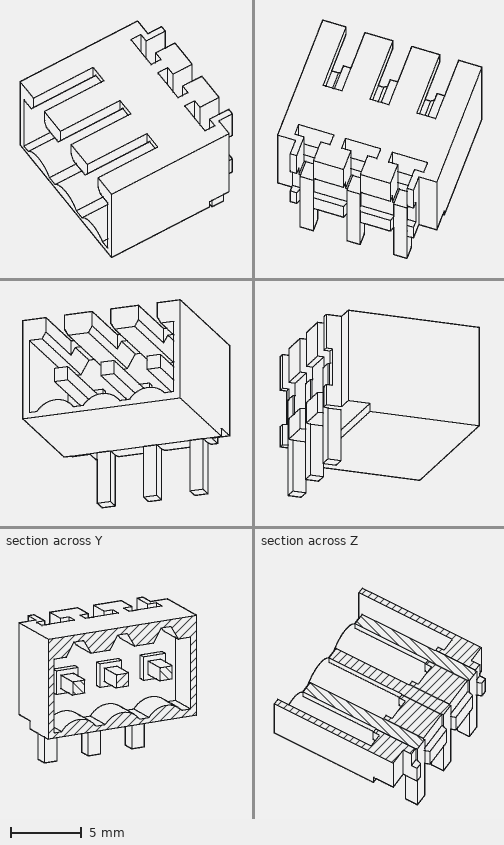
import cadquery as cq


contact_count = 3
pitch = 3.5
pin_width = 1.0
pin_arm_top_drop = 3.45
pin_front_inset = 1.19
pin_rear_inset = 0.35

width = 11.9
depth = 11.05
total_height = 10.65
housing_height = 7.43
rear_block_depth = 1.15
rear_block_side_inset = 1.35
foot_depth = 2.8
foot_height = 0.61

wall = 0.5
ceiling_thickness = 1.57
floor_thickness = 0.42
raised_floor_thickness = 0.56
ridge_height = 0.7
ridge_half_width = 1.38
keyway_top_drop = 0.55
keyway_top_half_width = 0.38
keyway_base_half_width = 0.99
collar_size = 1.75
collar_length = wall

top_slot_width = 1.4
top_slot_length = 5.02
pocket_width = 2.63
pocket_length = 0.83
pocket_rear_inset = 1.62
throat_width = 1.25
notch_top_drop = 2.55
notch_bottom_drop = 5.28
notch_depth = 0.48

housing_top = total_height
housing_bottom = housing_top - housing_height
foot_z = housing_bottom + foot_height
cavity_depth = depth - foot_depth - wall
cavity_floor = housing_bottom + floor_thickness
cavity_ceiling = housing_top - ceiling_thickness
pin_arm_top = housing_top - pin_arm_top_drop
pin_arm_center = pin_arm_top - pin_width / 2
pin_rear = depth - pin_rear_inset
pin_leg_front = pin_rear - pin_width
pocket_rear = depth - pocket_rear_inset
notch_top = housing_top - notch_top_drop
notch_bottom = housing_top - notch_bottom_drop
contact_xs = [width / 2 + (i - (contact_count - 1) / 2) * pitch for i in range(contact_count)]


def block(x_range, y_range, z_range):
    """Box spanning the given (low, high) range along each axis."""
    lows, highs = zip(x_range, y_range, z_range)
    sizes = [high - low for low, high in zip(lows, highs)]
    return cq.Workplane("XY").box(*sizes, centered=False).translate(lows)


def centered_block(x, block_width, y_range, z_range):
    """Box of the given width centred on x."""
    return block((x - block_width / 2, x + block_width / 2), y_range, z_range)


def extrude_back(outline, length):
    """Extrude an XZ outline from the mouth toward the rear."""
    return outline.close().extrude(-length)


def pin(x):
    """L-shaped square pin: an arm pointing to the mouth and a leg pointing down."""
    arm = centered_block(x, pin_width, (pin_front_inset, pin_rear), (pin_arm_top - pin_width, pin_arm_top))
    leg = centered_block(x, pin_width, (pin_leg_front, pin_rear), (0, pin_arm_top))
    return arm.union(leg)


def outer_shell():
    """Solid housing with its narrower rear block and the raised underside at the rear."""
    heights = (housing_bottom, housing_top)
    main = block((0, width), (0, depth - rear_block_depth), heights)
    rear_xs = (rear_block_side_inset, width - rear_block_side_inset)
    rear = block(rear_xs, (depth - rear_block_depth, depth), heights)
    underside = block((0, width), (depth - foot_depth, depth), (housing_bottom, foot_z))
    return main.union(rear).cut(underside)


def keyway(x):
    """Tapered groove in the cavity ceiling above a pin."""
    outline = (
        cq.Workplane("XZ")
        .moveTo(x - keyway_base_half_width, cavity_ceiling)
        .lineTo(x - keyway_top_half_width, housing_top - keyway_top_drop)
        .lineTo(x + keyway_top_half_width, housing_top - keyway_top_drop)
        .lineTo(x + keyway_base_half_width, cavity_ceiling)
    )
    return extrude_back(outline, cavity_depth)


def floor_ridge(x):
    """Rounded ridge along the cavity floor below a pin."""
    outline = (
        cq.Workplane("XZ")
        .moveTo(x - ridge_half_width, cavity_floor)
        .threePointArc((x, cavity_floor + ridge_height), (x + ridge_half_width, cavity_floor))
    )
    return extrude_back(outline, cavity_depth)


def pin_collar(x):
    """Square collar on the cavity's back wall around a pin arm."""
    half = collar_size / 2
    lengthwise = (cavity_depth - collar_length, cavity_depth)
    return centered_block(x, collar_size, lengthwise, (pin_arm_center - half, pin_arm_center + half))


def cavity():
    """Mating cavity, with the ridges, the raised floor strip and the collars left standing in it."""
    space = block((wall, width - wall), (0, cavity_depth), (cavity_floor, cavity_ceiling))
    raised_strip = block(
        (contact_xs[-1], width - wall),
        (0, cavity_depth),
        (cavity_floor, housing_bottom + raised_floor_thickness),
    )
    space = space.cut(raised_strip)
    for x in contact_xs:
        space = space.union(keyway(x)).cut(floor_ridge(x)).cut(pin_collar(x))
    return space


def top_slot(x):
    """Slot through the ceiling, open at the mouth."""
    return centered_block(x, top_slot_width, (0, top_slot_length), (cavity_ceiling, housing_top))


def rear_pocket(x):
    """T-shaped opening: a blind cross pocket in the top with a throat out through the rear face."""
    cross = centered_block(x, pocket_width, (pocket_rear - pocket_length, pocket_rear), (notch_top, housing_top))
    throat = centered_block(x, throat_width, (pocket_rear, depth), (pin_arm_top, housing_top))
    return cross.union(throat)


def leg_entry(x):
    """Funnel behind the leg, widening from the pin width to the throat width at the rear face."""
    return (
        cq.Workplane("XY", origin=(0, 0, foot_z))
        .moveTo(x - pin_width / 2, pin_rear)
        .lineTo(x - throat_width / 2, depth)
        .lineTo(x + throat_width / 2, depth)
        .lineTo(x + pin_width / 2, pin_rear)
        .close()
        .extrude(pin_arm_top - foot_z)
    )


def make_housing():
    """Housing with seats that fit the pins exactly."""
    body = outer_shell().cut(cavity())
    body = body.cut(block((0, width), (depth - notch_depth, depth), (notch_bottom, notch_top)))
    for x in contact_xs:
        body = body.cut(top_slot(x)).cut(rear_pocket(x)).cut(leg_entry(x)).cut(pin(x))
    return body.solids()


housing = make_housing()
pins = [pin(x).val() for x in contact_xs]

result = cq.Compound.makeCompound([housing.val(), *pins])